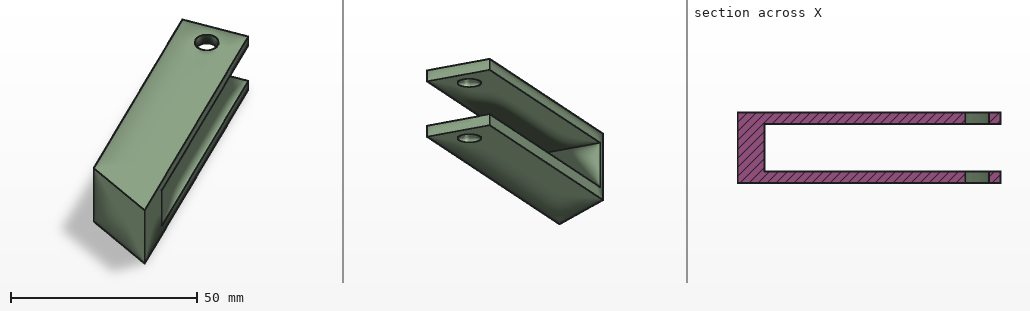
import cadquery as cq
import math

length = 76.2
side = 19.05
wall = side / 6
slot_depth = length - 4 * wall
hole_diameter = 2 * wall
hole_inset = 2 * wall
end_angle = 30.0

mitre_drop = side * math.tan(math.radians(end_angle))
half_side = side / 2


def mitred_bar():
    """Square bar from Y = 0 to Y = length, with its -Y end cut at an angle."""
    outline = [(-half_side, mitre_drop), (half_side, 0), (half_side, length), (-half_side, length)]
    return cq.Workplane("XY").polyline(outline).close().extrude(half_side, both=True)


def fork_slot():
    """Slot across the full width, open at the +Y end, leaving two equal arms."""
    slot_height = side - 2 * wall
    slot_centre_y = length - slot_depth / 2
    return cq.Workplane("XY").box(side, slot_depth, slot_height).translate((0, slot_centre_y, 0))


def pin_hole():
    """Vertical hole through both arms."""
    hole_plane = cq.Workplane("XY").center(0, length - hole_inset)
    return hole_plane.circle(hole_diameter / 2).extrude(side, both=True)


result = mitred_bar().cut(fork_slot()).cut(pin_hole())